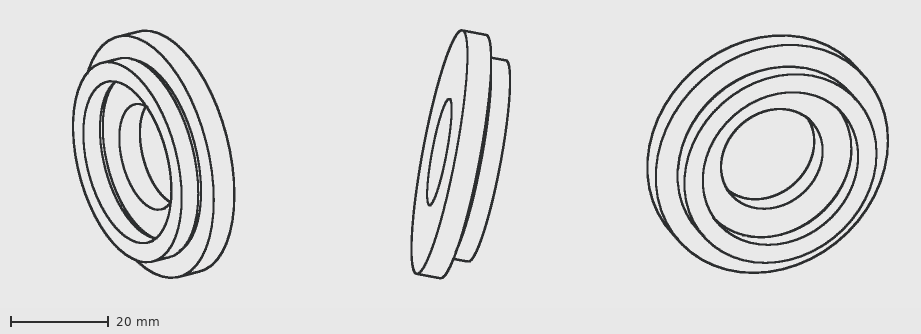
import cadquery as cq

flange_diameter = 50.8
total_length = 10.0
spigot_diameter = 42.0
spigot_land_length = 4.0
flange_thickness = total_length / 2

relief_depth = 0.5
groove_diameter = spigot_diameter - 2 * relief_depth
groove_width = total_length - flange_thickness - spigot_land_length

recess_diameter = 34.0
recess_depth = spigot_land_length + groove_width
bore_diameter = 22.2

undercut_diameter = recess_diameter + 2 * relief_depth


def disc(diameter, start, length):
    """Cylinder along +Y, beginning at the given Y position."""
    plane = cq.Workplane("XZ", origin=(0, start, 0))
    return plane.circle(diameter / 2).extrude(-length)


groove_start = spigot_land_length
flange_start = groove_start + groove_width
spigot = disc(spigot_diameter, 0, spigot_land_length)
groove_core = disc(groove_diameter, groove_start, groove_width)
flange = disc(flange_diameter, flange_start, flange_thickness)
body = spigot.union(groove_core).union(flange)

recess = disc(recess_diameter, 0, recess_depth)
undercut = disc(undercut_diameter, groove_start, groove_width)
through_bore = disc(bore_diameter, 0, total_length)
result = body.cut(recess).cut(undercut).cut(through_bore)